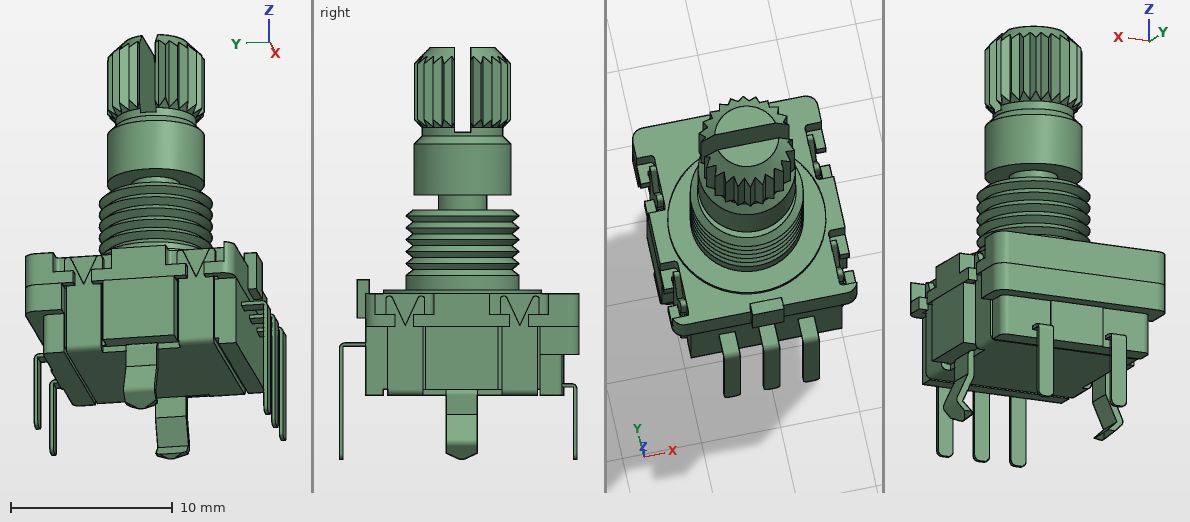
import cadquery as cq
import math


overall_width = 11.7
half_width = overall_width / 2
rear_y = 7.22
front_y = -6.0
corner_radius = 0.76
joint_z = 4.25
cover_top_z = 6.3

wall_x = 4.77
plate_thickness = 0.38
bend_radius = 0.35
tab_center_y = 3.55
tab_half_width = 1.1
tab_top_half_width = 1.2
tab_step_z = 5.02
tab_top_z = 6.15
tab_prong_tip_width = 0.35
tab_prong_radius = 0.175
tab_vee_z = 4.34
bay_half_length = 1.3
bay_shift_y = -0.05
bay_centers_y = (bay_shift_y - tab_center_y, bay_shift_y + tab_center_y)

side_block_half_length = tab_center_y - bay_half_length
side_block_bottom_z = 0.38
rear_bay_end_y = max(bay_centers_y) + bay_half_length
front_bay_end_y = min(bay_centers_y) - bay_half_length
rear_lip_bottom_z = 2.52
rear_block_half_width = 5.07
rear_block_y = 6.17
rear_block_radius = 0.43
rear_panel_half_width = 1.78
rear_panel_y = 6.27
floor_plate_half_length = tab_center_y + tab_half_width

pin_pitch = 2.5
pin_width = 1.02
pin_thickness = 0.23
pin_bend_radius = 0.35
pin_tip_radius = 0.33
pin_bottom_z = -3.95
front_pin_y = -7.62
front_pin_top_z = 3.26
rear_pin_y = 7.1
rear_pin_top_z = 0.75
pin_root_depth = 0.25

clip_width = 1.95
clip_outer_x = 4.92
clip_inner_x = 4.51
clip_knee_outer_z = -1.17
clip_knee_inner_z = -1.3
clip_elbow_x = 5.76
clip_elbow_inner_x = 5.28
clip_elbow_z = -2.98
clip_elbow_radius = 0.35
clip_tip_outer = (4.8, pin_bottom_z)
clip_tip_inner = (4.51, -3.7)
clip_point_drop = 0.38
clip_point_width = 0.3

notch_half_length = 1.84
notch_corner_radius = 0.23
prong_gap = 1.15
slot_outer_x = 5.25
disc_radius = 4.9
disc_top_z = 6.53
thread_diameter = 7.0
thread_radius = thread_diameter / 2
thread_root_radius = 3.05
thread_pitch = 0.75
thread_start_z = 7.42
thread_count = 5
key_half_width = 1.0
key_back_y = -5.76
key_front_y = -6.53
key_bottom_z = 4.8
key_top_z = 7.17

shaft_top_z = 21.55
stem_radius = 1.5
collar_radius = 3.0
collar_bottom_z = 12.4
collar_top_z = 15.55
neck_radius = 2.5
neck_top_z = 16.58
knurl_teeth = 24
knurl_root_radius = 2.55
knurl_end_radius = 2.0
slot_width = 1.0
slot_bottom_z = 16.3


def box(x_range, y_range, z_range):
    """Box spanning the given (low, high) pairs."""
    size = [high - low for low, high in (x_range, y_range, z_range)]
    corner = (x_range[0], y_range[0], z_range[0])
    return cq.Workplane("XY").box(*size, centered=False).translate(corner)


def both_sides(shape):
    """The shape on -X together with its mirror image on +X."""
    return shape.union(shape.mirror("YZ"))


def make_knurl_blank():
    """Star prism whose V grooves start on the +Y axis."""
    tooth_angle = 2 * math.pi / knurl_teeth
    points = []
    for tooth in range(knurl_teeth):
        for radius, offset in ((knurl_root_radius, 0), (collar_radius, 0.5)):
            angle = (tooth + offset) * tooth_angle
            points.append((radius * math.sin(angle), radius * math.cos(angle)))
    height = shaft_top_z - neck_top_z
    return cq.Workplane("XY").workplane(offset=neck_top_z).polyline(points).close().extrude(height)


def make_shaft():
    knurl_chamfer = collar_radius - neck_radius
    top_chamfer = collar_radius - knurl_end_radius
    knurl_envelope = (
        cq.Workplane("XZ")
        .moveTo(0, neck_top_z)
        .lineTo(neck_radius, neck_top_z)
        .lineTo(collar_radius, neck_top_z + knurl_chamfer)
        .lineTo(collar_radius, shaft_top_z - top_chamfer)
        .lineTo(knurl_end_radius, shaft_top_z)
        .lineTo(0, shaft_top_z)
        .close()
        .revolve()
    )
    stem = (
        cq.Workplane("XZ")
        .moveTo(0, joint_z)
        .lineTo(stem_radius, joint_z)
        .lineTo(stem_radius, collar_bottom_z)
        .lineTo(collar_radius, collar_bottom_z)
        .lineTo(collar_radius, collar_top_z)
        .lineTo(neck_radius, collar_top_z + collar_radius - neck_radius)
        .lineTo(neck_radius, neck_top_z)
        .lineTo(0, neck_top_z)
        .close()
        .revolve()
    )
    slot = box(
        (-collar_radius, collar_radius),
        (-slot_width / 2, slot_width / 2),
        (slot_bottom_z, shaft_top_z),
    )
    return stem.union(make_knurl_blank().intersect(knurl_envelope)).cut(slot)


def make_bushing():
    """Disc and bushing with ring-shaped thread ridges."""
    profile = (
        cq.Workplane("XZ")
        .moveTo(0, joint_z)
        .lineTo(thread_radius, joint_z)
        .lineTo(thread_radius, thread_start_z)
    )
    for ridge in range(thread_count):
        ridge_z = thread_start_z + (ridge + 1) * thread_pitch
        profile = profile.lineTo(thread_root_radius, ridge_z - thread_pitch / 2)
        profile = profile.lineTo(thread_radius, ridge_z)
    bushing_top_z = thread_start_z + (thread_count + 0.5) * thread_pitch
    profile = profile.lineTo(thread_root_radius, bushing_top_z).lineTo(0, bushing_top_z)
    disc = cq.Workplane("XY").workplane(offset=joint_z).circle(disc_radius).extrude(disc_top_z - joint_z)
    return profile.close().revolve().union(disc)


def make_cover_recess(center_y):
    """Notch on -X, with the slot for a tab and the opening between the cover's two hooks."""
    notch = box(
        (-half_width - notch_corner_radius, -wall_x),
        (center_y - notch_half_length, center_y + notch_half_length),
        (tab_step_z, cover_top_z),
    )
    notch = notch.edges("|Z and >X").fillet(notch_corner_radius)
    slot = box(
        (-slot_outer_x, -wall_x),
        (center_y - bay_half_length, center_y + bay_half_length),
        (joint_z, cover_top_z),
    )
    opening = box(
        (-half_width, -wall_x),
        (center_y - prong_gap / 2, center_y + prong_gap / 2),
        (joint_z, cover_top_z),
    )
    return notch.union(slot).union(opening)


def make_cover():
    lid = box((-half_width, half_width), (front_y, rear_y), (joint_z, cover_top_z))
    lid = lid.edges("|Z").fillet(corner_radius)
    for center_y in bay_centers_y:
        lid = lid.cut(both_sides(make_cover_recess(center_y)))
    key = box((-key_half_width, key_half_width), (key_front_y, key_back_y), (key_bottom_z, key_top_z))
    bore = cq.Workplane("XY").circle(stem_radius).extrude(shaft_top_z)
    return lid.union(make_bushing()).union(key).cut(bore)


def make_housing():
    core = box((-wall_x, wall_x), (front_y, rear_bay_end_y), (0, joint_z))
    side_block = box(
        (-half_width, half_width),
        (bay_shift_y - side_block_half_length, bay_shift_y + side_block_half_length),
        (side_block_bottom_z, joint_z),
    )
    rear_lip = box((-half_width, half_width), (rear_bay_end_y, rear_y), (rear_lip_bottom_z, joint_z))
    rear_lip = rear_lip.edges("|Z and >Y").fillet(corner_radius)
    rear_block = box(
        (-rear_block_half_width, rear_block_half_width),
        (rear_bay_end_y, rear_block_y),
        (0, joint_z),
    )
    rear_block = rear_block.edges("|Z and >Y").fillet(rear_block_radius)
    rear_panel = box(
        (-rear_panel_half_width, rear_panel_half_width),
        (rear_bay_end_y, rear_panel_y),
        (0, joint_z),
    )
    floor_recess = box((-wall_x, wall_x), (front_bay_end_y, rear_bay_end_y), (0, plate_thickness))
    floor_plate = box(
        (-clip_inner_x, clip_inner_x),
        (-floor_plate_half_length, floor_plate_half_length),
        (0, plate_thickness),
    )
    housing = core.union(side_block).union(rear_lip).union(rear_block).union(rear_panel)
    return housing.cut(floor_recess).union(floor_plate)


def make_tab(center_y):
    """Upright tab on -X with a V-shaped split top and a rounded bend at the foot."""
    outer_x = wall_x + plate_thickness
    prong_inner = tab_top_half_width - tab_prong_tip_width
    tab = (
        cq.Workplane("YZ")
        .moveTo(-tab_half_width, 0)
        .lineTo(tab_half_width, 0)
        .lineTo(tab_half_width, tab_step_z)
        .lineTo(tab_top_half_width, tab_step_z)
        .lineTo(tab_top_half_width, tab_top_z)
        .lineTo(prong_inner, tab_top_z)
        .lineTo(0, tab_vee_z)
        .lineTo(-prong_inner, tab_top_z)
        .lineTo(-tab_top_half_width, tab_top_z)
        .lineTo(-tab_top_half_width, tab_step_z)
        .lineTo(-tab_half_width, tab_step_z)
        .close()
        .extrude(plate_thickness)
        .translate((-outer_x, center_y, 0))
    )
    tab = tab.edges("|X and >Z").fillet(tab_prong_radius)
    foot = box(
        (-wall_x, -clip_inner_x),
        (center_y - tab_half_width, center_y + tab_half_width),
        (0, plate_thickness),
    )
    return tab.union(foot).edges("|Y and <Z and <X").fillet(bend_radius)


def make_clip():
    """Kinked spring leg on -X with a pointed tip."""
    leg = (
        cq.Workplane("XZ")
        .moveTo(-clip_outer_x, plate_thickness)
        .lineTo(-clip_outer_x, clip_knee_outer_z)
        .lineTo(-clip_elbow_x, clip_elbow_z)
        .lineTo(-clip_tip_outer[0], clip_tip_outer[1])
        .lineTo(-clip_tip_inner[0], clip_tip_inner[1])
        .lineTo(-clip_elbow_inner_x, clip_elbow_z)
        .lineTo(-clip_inner_x, clip_knee_inner_z)
        .lineTo(-clip_inner_x, plate_thickness)
        .close()
        .extrude(clip_width / 2, both=True)
    )
    for corner_x, corner_z, radius in (
        (clip_elbow_x, clip_elbow_z, clip_elbow_radius),
        (clip_outer_x, plate_thickness, bend_radius),
    ):
        corner = cq.selectors.NearestToPointSelector((-corner_x, 0, corner_z))
        leg = leg.edges(corner).fillet(radius)
    point = (
        cq.Workplane("YZ")
        .moveTo(-clip_width / 2, plate_thickness)
        .lineTo(-clip_width / 2, pin_bottom_z + clip_point_drop)
        .lineTo(-clip_point_width / 2, pin_bottom_z)
        .lineTo(clip_point_width / 2, pin_bottom_z)
        .lineTo(clip_width / 2, pin_bottom_z + clip_point_drop)
        .lineTo(clip_width / 2, plate_thickness)
        .close()
        .extrude(-half_width)
    )
    return leg.intersect(point).translate((0, bay_shift_y, 0))


def make_pin(outer_y, top_z, root_y):
    """Terminal running out from root_y along Y, then bent down at outer_y."""
    outward = math.copysign(1, outer_y)
    inner_y = outer_y - outward * pin_thickness
    start_y = root_y - outward * pin_root_depth
    pin = (
        cq.Workplane("YZ")
        .moveTo(start_y, top_z)
        .lineTo(outer_y - outward * pin_bend_radius, top_z)
        .radiusArc((outer_y, top_z - pin_bend_radius), outward * pin_bend_radius)
        .lineTo(outer_y, pin_bottom_z)
        .lineTo(inner_y, pin_bottom_z)
        .lineTo(inner_y, top_z - pin_thickness)
        .lineTo(start_y, top_z - pin_thickness)
        .close()
        .extrude(pin_width / 2, both=True)
    )
    return pin.edges("|Y and <Z").fillet(pin_tip_radius)


def make_base():
    base = make_housing()
    for center_y in (-tab_center_y, tab_center_y):
        base = base.union(both_sides(make_tab(center_y)))
    base = base.union(both_sides(make_clip()))
    front_pin = make_pin(front_pin_y, front_pin_top_z, front_y)
    for step in (-1, 0, 1):
        base = base.union(front_pin.translate((step * pin_pitch, 0, 0)))
    rear_pin = make_pin(rear_pin_y, rear_pin_top_z, rear_block_y)
    for step in (-1, 1):
        base = base.union(rear_pin.translate((step * pin_pitch, 0, 0)))
    return base


shaft = make_shaft()
cover = make_cover()
base = make_base()
result = cq.Compound.makeCompound([shaft.val(), cover.val(), base.val()])